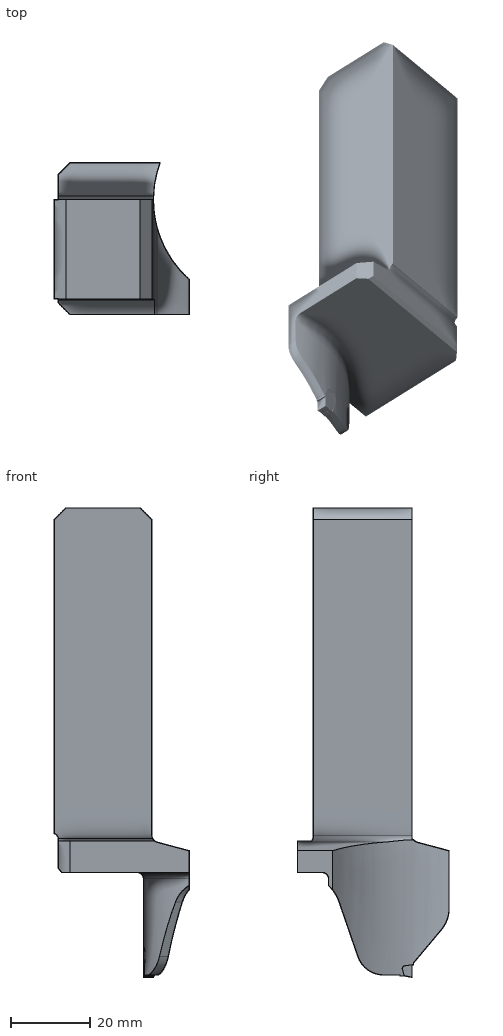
import cadquery as cq
import math

shank_size_x = 24.7
shank_size_y = 25.0
total_height = 118.6
shank_end_chamfer = 3.0

head_bottom = 26.5
head_min_x = 1.0
head_max_x = 34.14
head_min_y = -4.0
head_max_y = 34.37
head_corner_chamfer = 3.0
head_slope = math.radians(15)
slope_end_height = 32.0
ledge_height = 34.5
neck_height = 35.0
neck_radius = 1.4
shoulder_radius = 1.75
side_strip_width = 1.0
side_strip_rise = 0.5
ledge_strip_width = 0.35
ledge_strip_rise = 0.65
underside_chamfer_width = 0.9
underside_chamfer_height = 1.1

cutting_y = shank_size_y
blade_edge_x = 22.5
outer_radius = 25.0
inner_radius = 27.0
outer_center_x = blade_edge_x + outer_radius
inner_edge_x = 25.1
inner_center_x = inner_edge_x + inner_radius
blade_root_fillet = 1.5
blade_overlap = 1.0
blade_bottom = 0.6
blade_front_point = (25.4, 3.7)
blade_front_angle = math.radians(50)
blade_front_radius = 8.5
blade_back_bottom_y = 12.9
blade_back_angle = math.radians(71)
blade_back_radius = 7.0
blade_back_top = 19.1
blade_root_back = (3.8, 23.3)

overreach = 2.0

insert_top = 3.2
insert_back_top = (22.8, 2.9)
insert_back_corner = (22.5, 2.3)
insert_back_bottom = (23.0, 0.4)
seat_heel_back_y = 21.9
seat_heel_bottom = 0.35
clearance_min_y = 20.5
clearance_outline = [
    (25.6, -overreach),
    (25.6, 3.6),
    (25.1, 4.3),
    (23.6, 7.6),
    (21.4, 7.4),
    (clearance_min_y, 6.6),
    (clearance_min_y, 4.6),
    (seat_heel_back_y, 1.0),
    (seat_heel_back_y, -overreach),
]


def box(x_range, y_range, z_range):
    """Box between two limits along each axis."""
    size = [high - low for low, high in (x_range, y_range, z_range)]
    return cq.Workplane("XY").box(*size, centered=False).translate((x_range[0], y_range[0], z_range[0]))


def upright_cylinder(center_x, radius):
    """Upright cylinder whose axis lies level with the cutting edge in Y."""
    return cq.Workplane("XY").center(center_x, cutting_y).circle(radius).extrude(total_height)


def make_shank():
    """Bar with its two upper edges along Y chamfered."""
    shank = box((0, shank_size_x), (0, shank_size_y), (neck_height, total_height))
    return shank.faces(">Z").edges("|Y").chamfer(shank_end_chamfer)


def make_neck():
    """Concave groove leading from the head's -X face out to the shank's face."""
    return (
        cq.Workplane("XZ")
        .center(head_min_x - neck_radius, neck_height)
        .circle(neck_radius)
        .extrude(-shank_size_y)
    )


def make_head():
    """Plate that slopes down toward +X and +Y, with a low ledge on its -Y side."""
    rise_x = (head_max_x - shank_size_x) * math.tan(head_slope)
    rise_y = (head_max_y - shank_size_y) * math.tan(head_slope)
    fillet_run = shoulder_radius * math.tan((math.pi / 2 - head_slope) / 2)
    corner_height = slope_end_height + rise_x
    fillet_top = corner_height + fillet_run
    fillet_center = (shank_size_x + shoulder_radius, fillet_top)
    fillet_sweep = math.pi / 2 - head_slope

    def fillet_point(turn):
        angle = math.pi + turn
        return (
            fillet_center[0] + shoulder_radius * math.cos(angle),
            fillet_center[1] + shoulder_radius * math.sin(angle),
        )

    profile_x = (
        cq.Workplane("XZ", origin=(0, head_min_y, 0))
        .moveTo(head_min_x, head_bottom + underside_chamfer_height)
        .lineTo(head_min_x, fillet_top)
        .lineTo(shank_size_x, fillet_top)
        .threePointArc(fillet_point(fillet_sweep / 2), fillet_point(fillet_sweep))
        .lineTo(head_max_x, slope_end_height)
        .lineTo(head_max_x, head_bottom)
        .lineTo(head_min_x + underside_chamfer_width, head_bottom)
        .close()
        .extrude(head_min_y - head_max_y)
    )
    profile_y = (
        cq.Workplane("YZ")
        .moveTo(head_min_y, head_bottom)
        .lineTo(head_min_y, ledge_height)
        .lineTo(-ledge_strip_width, ledge_height)
        .lineTo(0, ledge_height + ledge_strip_rise)
        .lineTo(0, fillet_top)
        .lineTo(shank_size_y, fillet_top)
        .lineTo(shank_size_y, slope_end_height + rise_y + side_strip_rise)
        .lineTo(
            shank_size_y + side_strip_width,
            slope_end_height + rise_y - side_strip_width * math.tan(head_slope),
        )
        .lineTo(head_max_y, slope_end_height)
        .lineTo(head_max_y, head_bottom)
        .close()
        .extrude(head_max_x)
    )
    plan = (
        box((head_min_x, head_max_x), (head_min_y, head_max_y), (head_bottom, total_height))
        .edges("|Z and <X")
        .chamfer(head_corner_chamfer)
    )
    return profile_x.intersect(profile_y).intersect(plan)


def make_blade():
    """Curved blade without the insert's seat."""
    front_y, front_z = blade_front_point
    front_corner_z = front_z + (head_max_y - front_y) * math.tan(blade_front_angle)
    back_top_y = blade_back_bottom_y - (blade_back_top - blade_bottom) / math.tan(blade_back_angle)
    blade_top = head_bottom + blade_overlap
    silhouette = (
        cq.Workplane("YZ")
        .moveTo(head_max_y, blade_top)
        .lineTo(head_max_y, front_corner_z)
        .lineTo(front_y, front_z)
        .lineTo(front_y, seat_heel_bottom)
        .lineTo(seat_heel_back_y, seat_heel_bottom)
        .lineTo(seat_heel_back_y, blade_bottom)
        .lineTo(blade_back_bottom_y, blade_bottom)
        .lineTo(back_top_y, blade_back_top)
        .tangentArcPoint(blade_root_back, relative=False)
        .lineTo(blade_root_back[0] - blade_root_fillet, blade_root_back[1])
        .lineTo(blade_root_back[0] - blade_root_fillet, blade_top)
        .close()
        .extrude(head_max_x)
    )
    front_corner = cq.selectors.NearestToPointSelector((head_max_x / 2, head_max_y, front_corner_z))
    back_corner = cq.selectors.NearestToPointSelector((head_max_x / 2, blade_back_bottom_y, blade_bottom))
    silhouette = silhouette.edges(front_corner).fillet(blade_front_radius)
    silhouette = silhouette.edges(back_corner).fillet(blade_back_radius)
    return silhouette.intersect(upright_cylinder(outer_center_x, outer_radius))


def outer_side_x(y):
    """X of the blade's outer side at a given Y."""
    return outer_center_x - math.sqrt(outer_radius**2 - (cutting_y - y) ** 2)


def make_clearance():
    """Space outside a flat that follows a chord of the blade's outer side around the insert."""
    chord_slope = (outer_side_x(clearance_min_y) - blade_edge_x) / (cutting_y - clearance_min_y)

    def chord_point(y):
        return (blade_edge_x + (cutting_y - y) * chord_slope, y)

    low_y = clearance_min_y - overreach
    high_y = cutting_y + overreach
    wedge = (
        cq.Workplane("XY", origin=(0, 0, -overreach))
        .polyline([chord_point(low_y), chord_point(high_y), (0, high_y), (0, low_y)])
        .close()
        .extrude(head_bottom)
    )
    outline = cq.Workplane("YZ").polyline(clearance_outline).close().extrude(head_max_x)
    return wedge.intersect(outline)


def insert_prism():
    """Outline of the insert, run through the full width of the blade."""
    return (
        cq.Workplane("YZ")
        .moveTo(cutting_y, 0)
        .lineTo(cutting_y, insert_top)
        .lineTo(*insert_back_top)
        .lineTo(*insert_back_corner)
        .lineTo(*insert_back_bottom)
        .close()
        .extrude(head_max_x)
    )


def seat_prism():
    """Open space of the insert's seat, reaching past the front and bottom of the blade."""
    past_front = blade_front_point[0] + overreach
    return (
        cq.Workplane("YZ")
        .moveTo(past_front, -overreach)
        .lineTo(past_front, insert_top)
        .lineTo(cutting_y, insert_top)
        .lineTo(*insert_back_top)
        .lineTo(*insert_back_corner)
        .lineTo(*insert_back_bottom)
        .lineTo(insert_back_bottom[0], -overreach)
        .close()
        .extrude(head_max_x)
    )


def make_holder():
    """Shank, head and blade in one piece, with the insert's seat cut out."""
    holder = make_head().union(make_blade())
    middle_of_root = (blade_edge_x, cutting_y, head_bottom)
    holder = holder.edges("%CIRCLE").edges(cq.selectors.NearestToPointSelector(middle_of_root))
    holder = holder.fillet(blade_root_fillet)
    holder = holder.cut(upright_cylinder(inner_center_x, inner_radius))
    holder = holder.union(make_shank()).cut(make_neck())
    return holder.cut(make_clearance()).cut(seat_prism())


def make_insert():
    """Cutting tip, flush with both sides of the blade."""
    tip = insert_prism().intersect(upright_cylinder(outer_center_x, outer_radius))
    return tip.cut(upright_cylinder(inner_center_x, inner_radius)).cut(make_clearance())


holder = make_holder()
insert = make_insert()
result = cq.Compound.makeCompound([holder.val(), insert.val()])